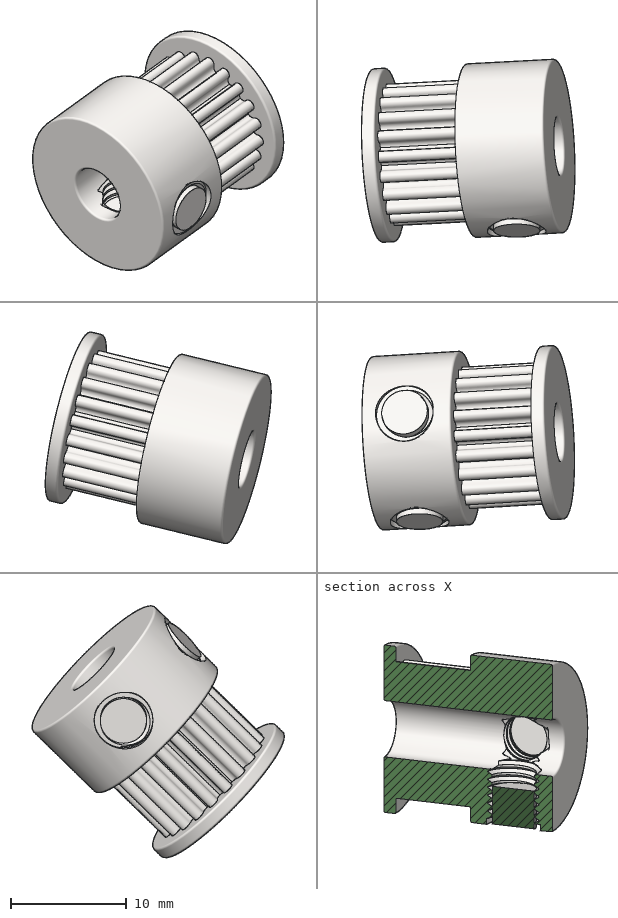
import cadquery as cq
import math

pulley_length = 16.0
outer_radius = 7.5
hub_length = 7.8
flange_thickness = 1.2
edge_fillet = 0.2
bore_radius = 2.5
flange_start = pulley_length - flange_thickness

tooth_count = 20
tooth_tip_radius = 6.11
ridge_radius = 0.5
slot_floor_radius = 4.93
slot_corner_radius = 0.5
tooth_angle = 2 * math.pi / tooth_count
half_tooth_angle = tooth_angle / 2
ridge_centre_radius = tooth_tip_radius - ridge_radius
slot_half_width = ridge_centre_radius * math.sin(half_tooth_angle) - ridge_radius
slot_mouth_radius = ridge_centre_radius * math.cos(half_tooth_angle)

screw_y = 3.75
screw_radius = 2.0
screw_inner_end = 4.0
screw_outer_end = 7.4

thread_pitch = 0.7
thread_depth = 0.43
thread_half_angle = math.radians(30)
thread_start = 1.5
thread_overlap = 0.08
recess_radius = 2.53
recess_floor = 6.96

run_out = 0.16
hole_end = outer_radius + run_out

hole_planes = [
    cq.Plane(origin=(0, screw_y, 0), xDir=(0, 0, 1), normal=(1, 0, 0)),
    cq.Plane(origin=(0, screw_y, 0), xDir=(1, 0, 0), normal=(0, 0, -1)),
]


def cross_section(y):
    """Sketch plane across the pulley axis, extruding toward +Y."""
    return cq.Workplane(cq.Plane(origin=(0, y, 0), xDir=(1, 0, 0), normal=(0, 1, 0)))


def rounded_disc(y_start, y_end):
    disc = cross_section(y_start).circle(outer_radius).extrude(y_end - y_start)
    return disc.faces("<Y or >Y").edges().fillet(edge_fillet)


def polar(radius, angle):
    return (radius * math.cos(angle), radius * math.sin(angle))


def slot_point(across, outward, slot):
    """Point given across and along the centre line of one slot."""
    angle = slot * tooth_angle + half_tooth_angle
    return (
        outward * math.cos(angle) - across * math.sin(angle),
        outward * math.sin(angle) + across * math.cos(angle),
    )


def toothed_core(y_start, y_end):
    arc_centre_across = slot_corner_radius - slot_half_width
    crease_angle = math.asin(arc_centre_across / slot_corner_radius)
    arc_centre_outward = slot_floor_radius + slot_corner_radius * math.cos(crease_angle)
    mid_angle = (crease_angle + math.pi / 2) / 2
    mid_across = slot_corner_radius * math.sin(mid_angle) - arc_centre_across
    mid_outward = arc_centre_outward - slot_corner_radius * math.cos(mid_angle)

    outline = cross_section(y_start).moveTo(*slot_point(slot_half_width, slot_mouth_radius, -1))
    for i in range(tooth_count):
        ridge_tip = polar(tooth_tip_radius, i * tooth_angle)
        crease = slot_point(0, slot_floor_radius, i)
        outline = outline.threePointArc(ridge_tip, slot_point(-slot_half_width, slot_mouth_radius, i))
        outline = outline.lineTo(*slot_point(-slot_half_width, arc_centre_outward, i))
        outline = outline.threePointArc(slot_point(-mid_across, mid_outward, i), crease)
        outline = outline.threePointArc(
            slot_point(mid_across, mid_outward, i),
            slot_point(slot_half_width, arc_centre_outward, i),
        )
        if i < tooth_count - 1:
            outline = outline.lineTo(*slot_point(slot_half_width, slot_mouth_radius, i))
    return outline.close().extrude(y_end - y_start)


def thread_cutter(plane):
    """Helical V ridge that cuts the thread groove, running out through the hub surface."""
    root_radius = screw_radius - thread_overlap
    half_width = (thread_depth + thread_overlap) * math.tan(thread_half_angle)
    helix = cq.Wire.makeHelix(thread_pitch, hole_end + thread_pitch - thread_start, screw_radius)
    profile = cq.Workplane("XZ").polyline([
        (root_radius, -half_width),
        (screw_radius + thread_depth, 0),
        (root_radius, half_width),
    ]).close()
    ridge = profile.sweep(cq.Workplane(helix), isFrenet=True).translate((0, 0, thread_start))
    return cq.Workplane(ridge.val().moved(cq.Location(plane)))


def make_pulley():
    body = rounded_disc(0, hub_length)
    body = body.union(toothed_core(hub_length, flange_start))
    body = body.union(rounded_disc(flange_start, pulley_length))
    body = body.cut(cross_section(0).circle(bore_radius).extrude(pulley_length))
    for end in ("<Y", ">Y"):
        bore_mouth = cq.selectors.RadiusNthSelector(0)
        body = body.faces(end).edges(bore_mouth).fillet(edge_fillet)
    for plane in hole_planes:
        body = body.cut(cq.Workplane(plane).circle(screw_radius).extrude(hole_end))
        body = body.cut(thread_cutter(plane))
        recess = cq.Workplane(plane).workplane(offset=recess_floor).circle(recess_radius)
        body = body.cut(recess.extrude(hole_end - recess_floor))
    return body


def make_set_screw(plane):
    start = cq.Workplane(plane).workplane(offset=screw_inner_end)
    return start.circle(screw_radius).extrude(screw_outer_end - screw_inner_end)


pulley = make_pulley()
set_screws = [make_set_screw(plane) for plane in hole_planes]

result = cq.Compound.makeCompound([pulley.val(), *[screw.val() for screw in set_screws]])